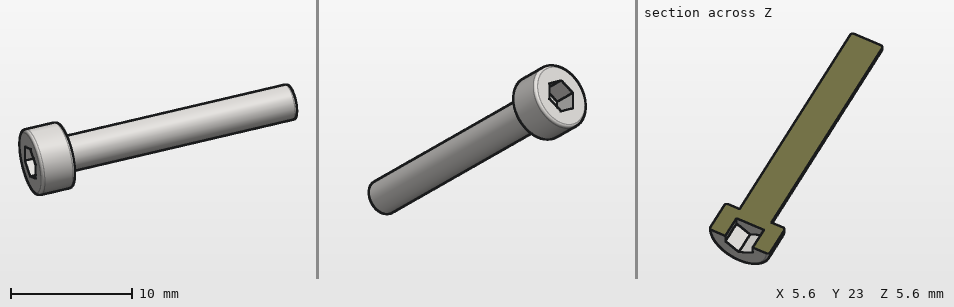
import cadquery as cq
import math

total_length = 23.0
head_diameter = 5.6
head_height = 3.0
shank_diameter = 3.0
head_edge_radius = 0.25
shank_tip_radius = 0.25

socket_across_flats = 2.5
socket_depth = 2.0
socket_across_corners = socket_across_flats / math.cos(math.pi / 6)

head_face_y = -total_length / 2


def cylinder_along_y(diameter, length):
    """Cylinder starting on the head face and running toward +Y."""
    return (
        cq.Workplane("XZ", origin=(0, head_face_y, 0))
        .circle(diameter / 2)
        .extrude(-length)
    )


def make_socket():
    """Hexagonal prism with corners pointing up and down."""
    return (
        cq.Workplane("XZ", origin=(0, head_face_y, 0))
        .transformed(rotate=(0, 0, 90))
        .polygon(6, socket_across_corners)
        .extrude(-socket_depth)
    )


head = cylinder_along_y(head_diameter, head_height).edges().fillet(head_edge_radius)
shank = cylinder_along_y(shank_diameter, total_length).faces(">Y").edges().fillet(shank_tip_radius)

result = head.union(shank).cut(make_socket())